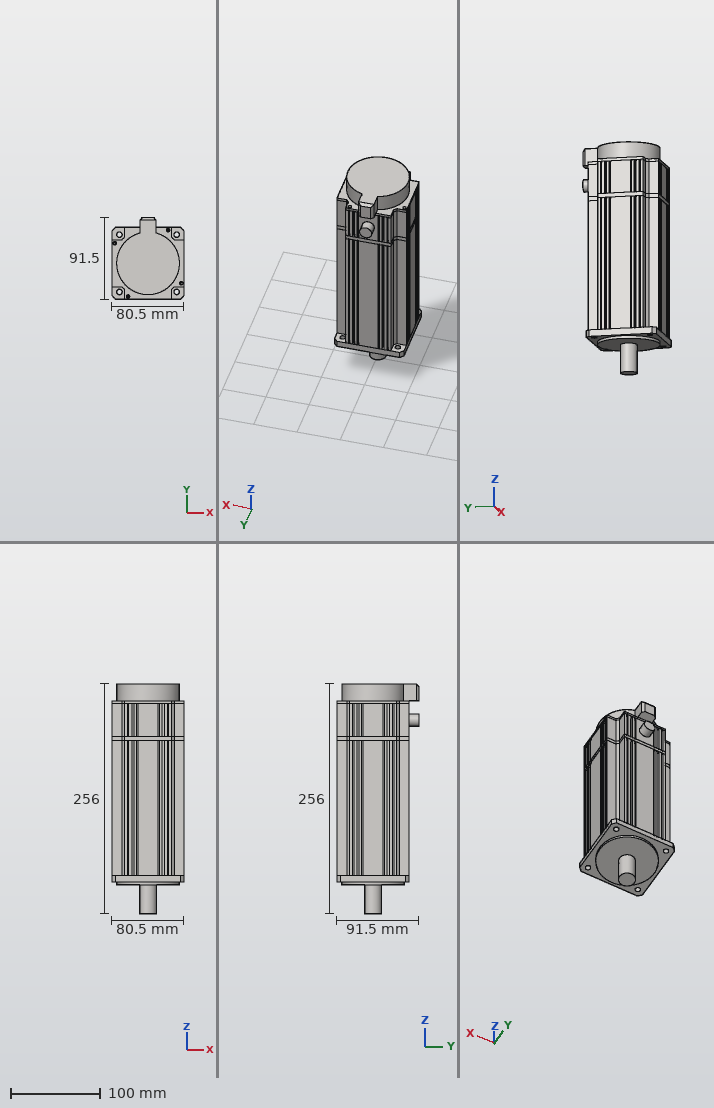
import cadquery as cq

PILOT_BOTTOM_Z = 32.3
FLANGE_BOTTOM_Z = 35.3
FLANGE_TOP_Z = 42.8
MOTOR_TOP_Z = 192.8
SPACER_TOP_Z = 197.5
REAR_HOUSING_TOP_Z = 234.0
END_PLATE_TOP_Z = 237.0
CAP_TOP_Z = 256.0

SIDE = 80.5
HALF_SIDE = SIDE / 2

FLANGE_CHAMFER = 4.0
MOUNT_HOLE_PITCH = 63.7
MOUNT_HOLE_DIAMETER = 6.0
PILOT_DIAMETER = 70.0
SHAFT_DIAMETER = 19.0

NOTCH = 14.0
NOTCH_CHAMFER = 3.0

SCREW_GROOVE_OFFSET = 22.3
GROOVES = [(12.0, 1.5), (17.0, 2.3), (SCREW_GROOVE_OFFSET, 1.5)]
GROOVE_DEPTH = 4.0

SCREW_HOLE_DIAMETER = 3.8
SCREW_HOLE_INSET = 3.3

CAP_DIAMETER = PILOT_DIAMETER
OUTLET_WIDTH = 18.0
OUTLET_REACH = 51.2
OUTLET_CHAMFER = 3.0

GLAND_DIAMETER = 14.0

SIDE_ANGLES = [0, 90, 180, 270]


def block(size_x, size_y, bottom, top):
    """Box centred on the motor axis between two heights."""
    return cq.Workplane("XY").workplane(offset=bottom).rect(size_x, size_y).extrude(top - bottom)


def cylinder(diameter, bottom, top):
    """Cylinder on the motor axis between two heights."""
    return cq.Workplane("XY").workplane(offset=bottom).circle(diameter / 2).extrude(top - bottom)


def notched_block(bottom, top):
    """Square block whose four corners are cut away, with each notch's inner corner chamfered."""
    inner = HALF_SIDE - NOTCH
    inner_edge = inner + NOTCH_CHAMFER
    notch = (
        cq.Workplane("XY")
        .workplane(offset=bottom)
        .moveTo(inner, HALF_SIDE)
        .lineTo(inner, inner_edge)
        .lineTo(inner_edge, inner)
        .lineTo(HALF_SIDE, inner)
        .lineTo(HALF_SIDE, HALF_SIDE)
        .close()
        .extrude(top - bottom)
    )
    body = block(SIDE, SIDE, bottom, top)
    for angle in SIDE_ANGLES:
        body = body.cut(notch.rotate((0, 0, 0), (0, 0, 1), angle))
    return body


def grooved_housing(bottom, top):
    """Extruded housing: notched block with grooves along all four sides."""
    body = notched_block(bottom, top)
    for offset, width in GROOVES:
        pair = (
            cq.Workplane("XY")
            .workplane(offset=bottom)
            .pushPoints([(sign * offset, GROOVE_DEPTH / 2 - HALF_SIDE) for sign in (-1, 1)])
            .rect(width, GROOVE_DEPTH)
            .extrude(top - bottom)
        )
        for angle in SIDE_ANGLES:
            body = body.cut(pair.rotate((0, 0, 0), (0, 0, 1), angle))
    return body


def make_shaft():
    return cylinder(SHAFT_DIAMETER, 0, PILOT_BOTTOM_Z)


def make_flange():
    """Mounting flange with chamfered corners, four through holes and the round pilot below."""
    plate = block(SIDE, SIDE, FLANGE_BOTTOM_Z, FLANGE_TOP_Z).edges("|Z").chamfer(FLANGE_CHAMFER)
    holes = (
        cq.Workplane("XY")
        .workplane(offset=FLANGE_BOTTOM_Z)
        .rect(MOUNT_HOLE_PITCH, MOUNT_HOLE_PITCH, forConstruction=True)
        .vertices()
        .circle(MOUNT_HOLE_DIAMETER / 2)
        .extrude(FLANGE_TOP_Z - FLANGE_BOTTOM_Z)
    )
    pilot = cylinder(PILOT_DIAMETER, PILOT_BOTTOM_Z, FLANGE_BOTTOM_Z)
    return plate.cut(holes).union(pilot)


def make_end_plate():
    """Rear plate with one screw hole beside each side, opening over a screw groove."""
    plate = notched_block(REAR_HOUSING_TOP_Z, END_PLATE_TOP_Z)
    hole = (
        cq.Workplane("XY")
        .workplane(offset=REAR_HOUSING_TOP_Z)
        .center(-SCREW_GROOVE_OFFSET, SCREW_HOLE_INSET - HALF_SIDE)
        .circle(SCREW_HOLE_DIAMETER / 2)
        .extrude(END_PLATE_TOP_Z - REAR_HOUSING_TOP_Z)
    )
    for angle in SIDE_ANGLES:
        plate = plate.cut(hole.rotate((0, 0, 0), (0, 0, 1), angle))
    return plate


def make_cap():
    """Round encoder cap with a cable outlet towards +Y, chamfered at its end."""
    outlet = (
        cq.Workplane("XY")
        .workplane(offset=END_PLATE_TOP_Z)
        .center(0, OUTLET_REACH / 2)
        .rect(OUTLET_WIDTH, OUTLET_REACH)
        .extrude(CAP_TOP_Z - END_PLATE_TOP_Z)
        .faces(">Y")
        .edges("|Z or >Z")
        .chamfer(OUTLET_CHAMFER)
    )
    return cylinder(CAP_DIAMETER, END_PLATE_TOP_Z, CAP_TOP_Z).union(outlet)


def make_gland():
    """Cylinder standing on the middle of the rear housing's +Y side."""
    middle_z = (SPACER_TOP_Z + REAR_HOUSING_TOP_Z) / 2
    return (
        cq.Workplane("XZ", origin=(0, HALF_SIDE, middle_z))
        .circle(GLAND_DIAMETER / 2)
        .extrude(HALF_SIDE - OUTLET_REACH)
    )


shaft = make_shaft()
flange = make_flange()
motor_housing = grooved_housing(FLANGE_TOP_Z, MOTOR_TOP_Z)
spacer = notched_block(MOTOR_TOP_Z, SPACER_TOP_Z)
rear_housing = grooved_housing(SPACER_TOP_Z, REAR_HOUSING_TOP_Z)
end_plate = make_end_plate()
cap = make_cap()
gland = make_gland()

result = cq.Compound.makeCompound(
    [
        shaft.val(),
        flange.val(),
        motor_housing.val(),
        spacer.val(),
        rear_housing.val(),
        end_plate.val(),
        cap.val(),
        gland.val(),
    ]
)